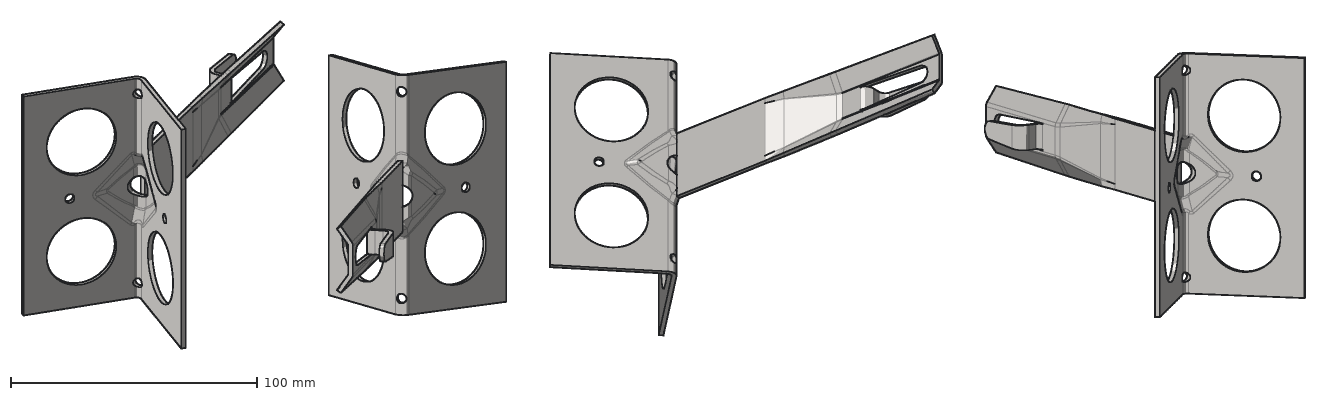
import cadquery as cq
import math

half_sheet = 1.0
sheet = 2 * half_sheet
inner_bend = sheet
outer_bend = inner_bend + sheet
diagonal = math.sqrt(2)
tolerance = 0.02

bracket_width = 73.5
bracket_height = 99.5
tip_x = bracket_width / 2
tip_step = sheet / diagonal
inner_apex = tip_x - tip_step
outer_apex = tip_x + tip_step

large_hole_diameter = 30.0
large_hole_x = inner_apex / 2
large_hole_z = 24.9
nail_hole_diameter = 4.0
nail_hole_x = 21.3
bend_hole_z = 42.9
boss_hole_diameter = 9.1

boss_rise = sheet
floor_apex = inner_apex + boss_rise * diagonal
boss_apex = outer_apex + boss_rise * diagonal
floor_bend = 2 * sheet
boss_bend = floor_bend + sheet
boss_window = 24.0
wall_corner = 3.1
cone_sink = 0.2
cone_rise = 1.1

foot_x, foot_z = 15.6, 23.2
top_x, top_z = 13.2, 18.0
mouth_x, mouth_z = 14.2, 21.5
floor_x, floor_z = 11.3, 15.5

arm_end = 171.5
flat_end = 84.4
ramp_start = 93.8
ramp_end = 118.0
channel_start = 121.1
channel_depth = 4.6
flat_half_width = 14.8
end_half_width = 12.7
flat_web_half = 12.3
channel_web_half = 6.2
channel_inner_bend = half_sheet
channel_outer_bend = channel_inner_bend + sheet

slot_root = 130.4
slot_root_half = 5.7
slot_end = 165.3
slot_end_half = 4.1
tab_root_half = 5.3
tab_tip = 157.3
tab_tip_half = 3.8
tab_inner_bend = 1.5 * sheet
tab_outer_bend = tab_inner_bend + sheet
tab_face_x = -15.8
tab_leg_y = slot_root + inner_bend


def ridge_y(apex, radius):
    """Y of the crest of a right-angle ridge once its sharp apex is rounded."""
    return apex - radius * (diagonal - 1)


boss_crest = ridge_y(boss_apex, boss_bend)


def bracket_sheet():
    """Two flat legs joined by a rounded right-angle bend."""
    outline = [
        (-inner_apex, 0), (-tip_x, tip_step), (0, outer_apex),
        (tip_x, tip_step), (inner_apex, 0), (0, inner_apex),
    ]
    body = cq.Workplane("XY").polyline(outline).close().extrude(bracket_height / 2, both=True)
    for apex, radius in ((outer_apex, outer_bend), (inner_apex, inner_bend)):
        body = body.edges(cq.NearestToPointSelector((0, apex, 0))).fillet(radius)
    return body


def roof(apex, radius):
    """Solid wedge below a right-angle ridge at Y = apex, rounded with the given radius."""
    body = cq.Workplane("XY").polyline([(-apex, 0), (0, apex), (apex, 0)]).close()
    body = body.extrude(bracket_height / 2, both=True)
    return body.edges("|Z").edges(">Y").fillet(radius)


def diamond_cone(low, high):
    """Tapered diamond folded over the bend; each end is (apex, bend radius, half width, half height)."""
    def triangle(share):
        def between(a, b):
            return a + share * (b - a)

        low_apex, low_bend, low_x, low_z = low
        high_apex, high_bend, high_x, high_z = high
        tip_y = between(low_apex - low_x, high_apex - high_x)
        crest_y = between(ridge_y(low_apex, low_bend), ridge_y(high_apex, high_bend))
        crest_z = between(low_z, high_z)
        corners = [(between(low_x, high_x), tip_y, 0), (0, crest_y, crest_z), (0, crest_y, -crest_z)]
        return cq.Wire.makePolygon([cq.Vector(*corner) for corner in corners], close=True)

    half = cq.Workplane(cq.Solid.makeLoft([triangle(-cone_sink), triangle(1 + cone_rise)], True))
    cone = half.union(half.mirror("YZ")).val()
    wall_edges = []
    for edge in cone.Edges():
        box = edge.BoundingBox()
        on_crest = box.xlen < tolerance and abs(edge.Center().z) > tolerance
        on_tip = box.zlen < tolerance
        if on_crest or on_tip:
            wall_edges.append(edge)
    return cq.Workplane(cone.fillet(wall_corner, wall_edges))


def boss_form():
    cone = diamond_cone((outer_apex, outer_bend, foot_x, foot_z), (boss_apex, boss_bend, top_x, top_z))
    return cone.intersect(roof(boss_apex, boss_bend))


def boss_pocket():
    cone = diamond_cone((inner_apex, inner_bend, mouth_x, mouth_z), (floor_apex, floor_bend, floor_x, floor_z))
    return cone.intersect(roof(floor_apex, floor_bend))


def round_diamond(body, apex, bend, radius):
    """Round the diamond outline that lies on the folded face with this apex and bend radius."""
    def on_fold(point):
        if abs(point.x) > bend / diagonal:
            return abs(abs(point.x) + point.y - apex) < tolerance
        return abs(math.hypot(point.x, point.y - apex + bend * diagonal) - bend) < tolerance

    outline = []
    for edge in body.val().Edges():
        middle = edge.positionAt(0.5)
        in_window = max(abs(middle.x), abs(middle.z)) < boss_window
        along_bend = edge.BoundingBox().xlen < tolerance
        if in_window and not along_bend and all(on_fold(edge.positionAt(s)) for s in (0, 0.5, 1)):
            outline.append(edge)
    return cq.Workplane(body.val().fillet(radius, outline))


def leg_hole(x, z, diameter, side):
    """Round cutter square to one leg, centred on its inner face."""
    depth = 4 * sheet
    axis = cq.Vector(side / diagonal, 1 / diagonal, 0)
    start = cq.Vector(side * x, inner_apex - x, z) - axis * (depth / 2)
    return cq.Workplane(cq.Solid.makeCylinder(diameter / 2, depth, start, axis))


def ridge_hole(z, diameter):
    """Round cutter along Y through the bend."""
    start = cq.Vector(0, inner_apex / 2, z)
    return cq.Workplane(cq.Solid.makeCylinder(diameter / 2, inner_apex, start, cq.Vector(0, 1, 0)))


def make_bracket():
    body = bracket_sheet().union(boss_form())
    body = round_diamond(body, outer_apex, outer_bend, inner_bend)
    body = round_diamond(body, boss_apex, boss_bend, outer_bend)
    body = body.cut(boss_pocket())
    body = round_diamond(body, inner_apex, inner_bend, outer_bend)
    body = round_diamond(body, floor_apex, floor_bend, inner_bend)
    for side in (-1, 1):
        for z in (-large_hole_z, large_hole_z):
            body = body.cut(leg_hole(large_hole_x, z, large_hole_diameter, side))
        body = body.cut(leg_hole(nail_hole_x, 0, nail_hole_diameter, side))
    for z in (-bend_hole_z, bend_hole_z):
        body = body.cut(ridge_hole(z, nail_hole_diameter))
    return body.cut(ridge_hole(0, boss_hole_diameter))


def channel_corners(y, depth):
    """Upper half of the sharp channel section as (x, y, z): outer corner, lip, opening, inner corner."""
    web_half = flat_web_half + (channel_web_half - flat_web_half) * depth / channel_depth
    taper = (y - flat_end) / (arm_end - flat_end)
    open_half = flat_half_width + (end_half_width - flat_half_width) * taper
    flare = math.atan2(depth, open_half - web_half)
    return [
        (-half_sheet - depth, y, web_half + sheet * math.tan(flare / 2)),
        (half_sheet - sheet * math.cos(flare), y, open_half + sheet * math.sin(flare)),
        (half_sheet, y, open_half),
        (half_sheet - depth, y, web_half),
    ]


def channel_section(corners):
    mirrored = [(x, y, -z) for x, y, z in reversed(corners)]
    return cq.Wire.makePolygon([cq.Vector(*corner) for corner in corners + mirrored], close=True)


def channel():
    """Ramp and channel, lofted through the sections where the web changes slope."""
    ramp_run = (ramp_end + channel_start - flat_end - ramp_start) / 2
    ramp_slope = channel_depth / ramp_run
    stations = [
        channel_corners(flat_end, 0),
        channel_corners(ramp_start, ramp_slope * (ramp_start - flat_end) / 2),
        channel_corners(ramp_end, channel_depth - ramp_slope * (channel_start - ramp_end) / 2),
        channel_corners(channel_start, channel_depth),
        channel_corners(arm_end, channel_depth),
    ]
    body = cq.Workplane(cq.Solid.makeLoft([channel_section(station) for station in stations], True))
    for corner, radius in ((3, channel_inner_bend), (0, channel_outer_bend)):
        bend_edges = []
        for near, far in zip(stations, stations[1:]):
            x, y, z = [(a + b) / 2 for a, b in zip(near[corner], far[corner])]
            for side in (-1, 1):
                bend_edges += body.edges(cq.NearestToPointSelector((x, y, side * z))).vals()
        body = cq.Workplane(body.val().fillet(radius, bend_edges))
    return body


def tongue(root_half, end, end_half):
    """Tapered bar along Y with a round end, from the slot root, running through in X."""
    end_start = end - end_half
    reach = 2 * abs(tab_face_x)
    return (
        cq.Workplane("YZ").moveTo(slot_root, -root_half).lineTo(end_start, -end_half)
        .threePointArc((end, 0), (end_start, end_half)).lineTo(slot_root, root_half).close()
        .extrude(reach, both=True)
    )


def hook_tab():
    """Tab bent square out of the web and then parallel to the web again."""
    web_outer = -half_sheet - channel_depth
    web_inner = web_outer + sheet
    tab_inner = tab_face_x + sheet
    leg_top = tab_leg_y + sheet
    tab = (
        cq.Workplane("XY").moveTo(web_outer, slot_root)
        .radiusArc((web_outer - inner_bend, tab_leg_y), -inner_bend)
        .lineTo(tab_face_x + tab_outer_bend, tab_leg_y)
        .radiusArc((tab_face_x, tab_leg_y + tab_outer_bend), tab_outer_bend)
        .lineTo(tab_face_x, tab_tip)
        .lineTo(tab_inner, tab_tip)
        .lineTo(tab_inner, leg_top + tab_inner_bend)
        .radiusArc((tab_inner + tab_inner_bend, leg_top), -tab_inner_bend)
        .lineTo(web_inner - outer_bend, leg_top)
        .radiusArc((web_inner, slot_root), outer_bend)
        .close().extrude(slot_root_half, both=True)
    )
    return tab.intersect(tongue(tab_root_half, tab_tip, tab_tip_half))


def make_arm():
    length = flat_end - boss_crest
    strip = cq.Workplane("XY").box(sheet, length, 2 * flat_half_width)
    strip = strip.translate((0, boss_crest + length / 2, 0))
    body = strip.union(channel()).cut(tongue(slot_root_half, slot_end, slot_end_half))
    return body.union(hook_tab())


bracket = make_bracket()
arm = make_arm()
result = cq.Compound.makeCompound([bracket.val(), arm.val()])